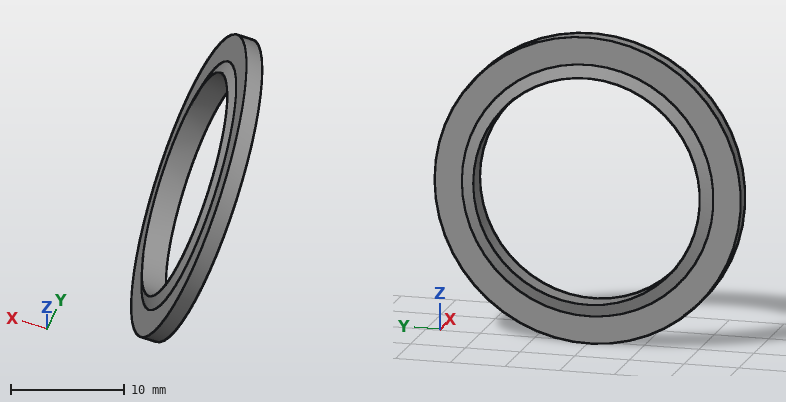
import cadquery as cq

outer_diameter = 28.0
bore_diameter = 20.7
cone_base_diameter = 23.0
flange_thickness = 1.5
overall_width = 2.3

outer_radius = outer_diameter / 2
bore_radius = bore_diameter / 2
cone_base_radius = cone_base_diameter / 2
flange_half = flange_thickness / 2
half_width = overall_width / 2


def ring_section():
    """Half section in the XY plane: flat flange with a conical lip on each side of the bore."""
    return (
        cq.Workplane("XY")
        .moveTo(-half_width, bore_radius)
        .lineTo(-flange_half, cone_base_radius)
        .lineTo(-flange_half, outer_radius)
        .lineTo(flange_half, outer_radius)
        .lineTo(flange_half, cone_base_radius)
        .lineTo(half_width, bore_radius)
        .close()
    )


result = ring_section().revolve(360, (0, 0, 0), (1, 0, 0))